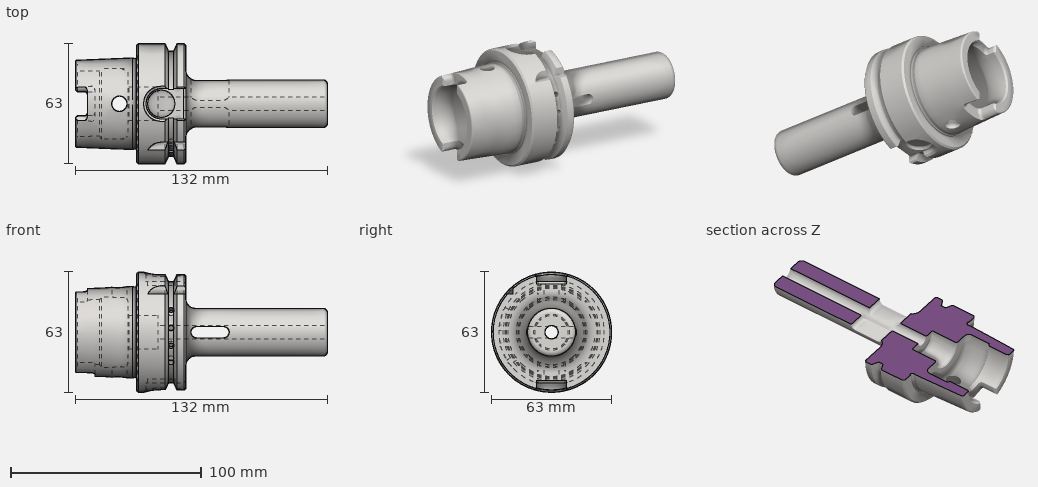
import cadquery as cq
import math

total_length = 132
collar_start = 32.0
collar_end = 57.8

taper_front_radius = 22.8
taper_rear_radius = 24.0
taper_front_fillet = 0.9
taper_end = 29.8
relief_radius = 23.8
relief_start = 30.8
relief_end = 31.5
face_groove_inner_radius = 24.4
face_groove_outer_radius = 25.3
face_groove_depth = 0.5

collar_radius = 31.48
collar_chamfer = 0.9
collar_rear_chamfer = 0.9
groove_bottom_radius = 27.6
front_land_end = 46.9
groove_bottom_start = 48.7
groove_bottom_end = 51.3
rear_land_start = 53.2

shank_radius = 12.5
neck_fillet = 4.9
shank_end_fillet = 2.5

bore_radius = 17.0
bore_chamfer = 0.7
bore_chamfer_length = 1.0
bore_length = 12.7
chamber_radius = 18.5
chamber_angle = 60
chamber_end = 27.5
chamber_floor_radius = 15.7
thread_radius = 8.7
thread_chamfer = 0.7
thread_depth = 15.8
coolant_radius = 3.4

radial_hole_x = 23.0
radial_hole_radius = 4

drive_slot_half_width = 6.27
drive_slot_wall_top_z = 18.1
drive_slot_shoulder_radius = 3.2
drive_slot_bevel = 0.99
drive_slot_corner = 1.7
upper_slot_depth = 6.2
lower_slot_depth = 10.2

pocket_x = 44.9
pocket_floor_z = 26.5
pocket_half_width = 7.9
pocket_front_chamfer = 1.3
pocket_flange_chamfer = 0.9
pocket_hole_radius = 7.1
pocket_hole_depth = 2.1
pocket_floor_chamfer = 1.2

notch_offset = 20.13
notch_tangent_x = 44.9
notch_corner_radius = 7.9

groove_hole_radius = 1.5
groove_hole_depth = 4
groove_hole_x = (groove_bottom_start + groove_bottom_end) / 2
groove_hole_angles = (25, 5, -15, -35)

shank_slot_start = 60.5
shank_slot_end = 80.4
shank_slot_width = 5.8

cut_reach = 2 * collar_radius


def turned_body():
    neck_radius = shank_radius + neck_fillet
    neck_end = collar_end + neck_fillet
    fillet_mid = neck_fillet * math.sqrt(0.5)
    return (
        cq.Workplane("XY")
        .moveTo(0, 0)
        .lineTo(0, taper_front_radius - taper_front_fillet)
        .radiusArc((taper_front_fillet, taper_front_radius), taper_front_fillet)
        .lineTo(taper_end, taper_rear_radius)
        .lineTo(relief_start, relief_radius)
        .lineTo(relief_end, relief_radius)
        .lineTo(collar_start, face_groove_inner_radius)
        .lineTo(collar_start + face_groove_depth, face_groove_inner_radius)
        .lineTo(collar_start + face_groove_depth, face_groove_outer_radius)
        .lineTo(collar_start, face_groove_outer_radius)
        .lineTo(collar_start, collar_radius - collar_chamfer)
        .lineTo(collar_start + collar_chamfer, collar_radius)
        .lineTo(front_land_end, collar_radius)
        .lineTo(groove_bottom_start, groove_bottom_radius)
        .lineTo(groove_bottom_end, groove_bottom_radius)
        .lineTo(rear_land_start, collar_radius)
        .lineTo(collar_end - collar_rear_chamfer, collar_radius)
        .lineTo(collar_end, collar_radius - collar_rear_chamfer)
        .lineTo(collar_end, neck_radius)
        .threePointArc((neck_end - fillet_mid, neck_radius - fillet_mid), (neck_end, shank_radius))
        .lineTo(total_length, shank_radius)
        .lineTo(total_length, 0)
        .close()
        .revolve(360, (0, 0, 0), (1, 0, 0))
        .faces(">X")
        .edges()
        .fillet(shank_end_fillet)
    )


def axial_bores():
    """Mouth bore, wider chamber with a rounded floor, thread bore and coolant hole."""
    thread_end = chamber_end + thread_depth
    cone_length = (chamber_radius - bore_radius) / math.tan(math.radians(chamber_angle))
    floor_fillet = chamber_radius - chamber_floor_radius
    return (
        cq.Workplane("XY")
        .moveTo(0, 0)
        .lineTo(0, bore_radius + bore_chamfer)
        .lineTo(bore_chamfer_length, bore_radius)
        .lineTo(bore_length, bore_radius)
        .lineTo(bore_length + cone_length, chamber_radius)
        .lineTo(chamber_end - floor_fillet, chamber_radius)
        .radiusArc((chamber_end, chamber_floor_radius), floor_fillet)
        .lineTo(chamber_end, thread_radius + thread_chamfer)
        .lineTo(chamber_end + thread_chamfer, thread_radius)
        .lineTo(thread_end, thread_radius)
        .lineTo(thread_end, coolant_radius)
        .lineTo(total_length, coolant_radius)
        .lineTo(total_length, 0)
        .close()
        .revolve(360, (0, 0, 0), (1, 0, 0))
    )


def drive_slot(depth):
    """Slot in the +Z side of the taper mouth: rounded shoulders and corners, bevelled mouth."""
    shoulder_half_width = drive_slot_half_width + drive_slot_shoulder_radius
    shoulder_z = drive_slot_wall_top_z + drive_slot_shoulder_radius
    top_z = taper_rear_radius + 1.3
    slot = (
        cq.Workplane("YZ")
        .moveTo(-drive_slot_half_width, 0)
        .lineTo(drive_slot_half_width, 0)
        .lineTo(drive_slot_half_width, drive_slot_wall_top_z)
        .radiusArc((shoulder_half_width, shoulder_z), drive_slot_shoulder_radius)
        .lineTo(shoulder_half_width, top_z)
        .lineTo(-shoulder_half_width, top_z)
        .lineTo(-shoulder_half_width, shoulder_z)
        .radiusArc((-drive_slot_half_width, drive_slot_wall_top_z), drive_slot_shoulder_radius)
        .close()
        .extrude(depth)
    )
    slot = slot.faces(">X").edges("not |Y").fillet(drive_slot_corner)
    mouth_half_width = drive_slot_half_width + drive_slot_bevel
    mouth = (
        cq.Workplane("XY")
        .moveTo(0, mouth_half_width)
        .lineTo(drive_slot_bevel, drive_slot_half_width)
        .lineTo(drive_slot_bevel, -drive_slot_half_width)
        .lineTo(0, -mouth_half_width)
        .close()
        .extrude(top_z)
    )
    return slot.union(mouth)


def gripper_pocket():
    """Flat-floored pocket, rounded toward the taper and open through the rear of the collar."""
    channel = (
        cq.Workplane("XY", origin=(0, 0, pocket_floor_z))
        .moveTo(cut_reach, pocket_half_width)
        .lineTo(pocket_x, pocket_half_width)
        .threePointArc((pocket_x - pocket_half_width, 0), (pocket_x, -pocket_half_width))
        .lineTo(cut_reach, -pocket_half_width)
        .close()
        .extrude(collar_radius)
    )
    hole = (
        cq.Workplane("XY", origin=(pocket_x, 0, pocket_floor_z - pocket_hole_depth))
        .circle(pocket_hole_radius)
        .extrude(pocket_hole_depth)
    )
    rear_chamfer = (
        cq.Workplane("XZ")
        .moveTo(collar_end - pocket_floor_chamfer, pocket_floor_z)
        .lineTo(collar_end, pocket_floor_z)
        .lineTo(collar_end, pocket_floor_z - pocket_floor_chamfer)
        .close()
        .extrude(pocket_half_width, both=True)
    )
    return channel.union(hole).union(rear_chamfer)


def chamfer_pocket_rims(body, start_x, end_x, size):
    """Chamfer the edges of both pockets that lie on the collar surface between two X positions."""
    reach_y = pocket_half_width + 0.1
    for low_z, high_z in ((groove_bottom_radius, collar_radius), (-collar_radius, -groove_bottom_radius)):
        rim = cq.selectors.BoxSelector((start_x, -reach_y, low_z), (end_x, reach_y, high_z))
        body = body.edges(rim).chamfer(size)
    return body


def index_notch():
    """Square notch in the collar rim between -Y and +Z, with a round inner end."""
    outer_y = -notch_offset - 2 * notch_corner_radius
    return (
        cq.Workplane("XY", origin=(0, 0, notch_offset))
        .moveTo(collar_end, -notch_offset)
        .lineTo(notch_tangent_x, -notch_offset)
        .threePointArc(
            (notch_tangent_x - notch_corner_radius, -notch_offset - notch_corner_radius),
            (notch_tangent_x, outer_y),
        )
        .lineTo(collar_end, outer_y)
        .close()
        .extrude(collar_radius)
    )


def groove_holes():
    holes = cq.Workplane("XY")
    for angle in groove_hole_angles:
        hole = (
            cq.Workplane("XZ", origin=(groove_hole_x, -groove_bottom_radius + groove_hole_depth, 0))
            .circle(groove_hole_radius)
            .extrude(collar_radius)
            .rotate((0, 0, 0), (1, 0, 0), -angle)
        )
        holes = holes.union(hole)
    return holes


def shank_slot():
    return (
        cq.Workplane("XZ", origin=((shank_slot_start + shank_slot_end) / 2, 0, 0))
        .slot2D(shank_slot_end - shank_slot_start, shank_slot_width)
        .extrude(cut_reach, both=True)
    )


def radial_hole():
    return (
        cq.Workplane("XY", origin=(radial_hole_x, 0, 0))
        .circle(radial_hole_radius)
        .extrude(cut_reach, both=True)
    )


def half_turn(shape):
    return shape.rotate((0, 0, 0), (1, 0, 0), 180)


def collar_with_pockets():
    body = turned_body().cut(gripper_pocket()).cut(half_turn(gripper_pocket()))
    pocket_start = pocket_x - pocket_half_width
    body = chamfer_pocket_rims(body, pocket_start, front_land_end, pocket_front_chamfer)
    flange_land_end = collar_end - collar_rear_chamfer
    return chamfer_pocket_rims(body, rear_land_start, flange_land_end, pocket_flange_chamfer)


result = (
    collar_with_pockets()
    .cut(axial_bores())
    .cut(drive_slot(upper_slot_depth))
    .cut(half_turn(drive_slot(lower_slot_depth)))
    .cut(index_notch())
    .cut(groove_holes())
    .cut(shank_slot())
    .cut(radial_hole())
)